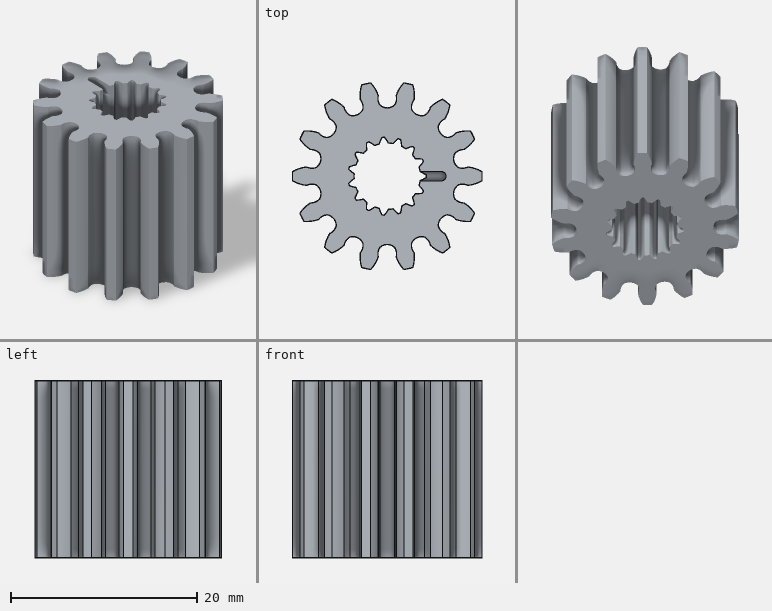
import cadquery as cq
import math

face_width = 19.0
tooth_count = 14
tip_radius = 10.18
tip_half_width = 0.5
shoulder_radius = 8.72
shoulder_half_width = 1.0
flank_middle_radius = 9.55
flank_middle_half_width = 0.8

root_radius = 7.34
root_edge_radius = 7.67
root_edge_half_width = 0.77
wall_middle_radius = 8.08
wall_middle_half_width = 0.945

groove_count = 15
bore_radius = 3.545
groove_bottom_radius = 4.18
groove_mouth_half_width = 0.48
groove_middle_radius = 3.87
groove_middle_half_width = 0.32
groove_bottom_half_width = 0.13

slot_width = 1.0
slot_end = 6.3
slot_depth = 1.2


def ring_point(radius, angle):
    """Point at a radius and an angle (radians) about the part axis."""
    return (radius * math.cos(angle), radius * math.sin(angle))


def half_angle(half_width, radius):
    """Angle between a centreline and a point half_width beside it."""
    return math.asin(half_width / radius)


def make_toothed_body():
    pitch = 2 * math.pi / tooth_count
    tip_angle = half_angle(tip_half_width, tip_radius)
    flank_angle = half_angle(flank_middle_half_width, flank_middle_radius)
    shoulder_angle = half_angle(shoulder_half_width, shoulder_radius)
    root_edge_angle = half_angle(root_edge_half_width, root_edge_radius)
    wall_angle = half_angle(wall_middle_half_width, wall_middle_radius)

    outline = cq.Workplane("XY").moveTo(*ring_point(tip_radius, -tip_angle))
    for index in range(tooth_count):
        center = index * pitch
        gap = center + pitch / 2
        following = center + pitch
        outline = outline.threePointArc(
            ring_point(tip_radius, center), ring_point(tip_radius, center + tip_angle)
        )
        outline = outline.threePointArc(
            ring_point(flank_middle_radius, center + flank_angle),
            ring_point(shoulder_radius, center + shoulder_angle),
        )
        outline = outline.threePointArc(
            ring_point(wall_middle_radius, gap - wall_angle),
            ring_point(root_edge_radius, gap - root_edge_angle),
        )
        outline = outline.threePointArc(
            ring_point(root_radius, gap), ring_point(root_edge_radius, gap + root_edge_angle)
        )
        outline = outline.threePointArc(
            ring_point(wall_middle_radius, gap + wall_angle),
            ring_point(shoulder_radius, following - shoulder_angle),
        )
        outline = outline.threePointArc(
            ring_point(flank_middle_radius, following - flank_angle),
            ring_point(tip_radius, following - tip_angle),
        )
    return outline.close().extrude(face_width)


def make_splined_bore():
    pitch = 2 * math.pi / groove_count
    mouth_angle = half_angle(groove_mouth_half_width, bore_radius)
    middle_angle = half_angle(groove_middle_half_width, groove_middle_radius)
    bottom_angle = half_angle(groove_bottom_half_width, groove_bottom_radius)

    outline = cq.Workplane("XY").moveTo(*ring_point(bore_radius, -mouth_angle))
    for index in range(groove_count):
        center = index * pitch
        outline = outline.threePointArc(
            ring_point(groove_middle_radius, center - middle_angle),
            ring_point(groove_bottom_radius, center - bottom_angle),
        )
        outline = outline.threePointArc(
            ring_point(groove_bottom_radius, center),
            ring_point(groove_bottom_radius, center + bottom_angle),
        )
        outline = outline.threePointArc(
            ring_point(groove_middle_radius, center + middle_angle),
            ring_point(bore_radius, center + mouth_angle),
        )
        outline = outline.threePointArc(
            ring_point(bore_radius, center + pitch / 2),
            ring_point(bore_radius, center + pitch - mouth_angle),
        )
    return outline.close().extrude(face_width)


def make_alignment_slot():
    end_radius = slot_width / 2
    straight_end = slot_end - end_radius
    return (
        cq.Workplane("XY", origin=(0, 0, face_width - slot_depth))
        .moveTo(0, -end_radius)
        .lineTo(straight_end, -end_radius)
        .threePointArc((slot_end, 0), (straight_end, end_radius))
        .lineTo(0, end_radius)
        .close()
        .extrude(slot_depth)
    )


result = make_toothed_body().cut(make_splined_bore()).cut(make_alignment_slot())